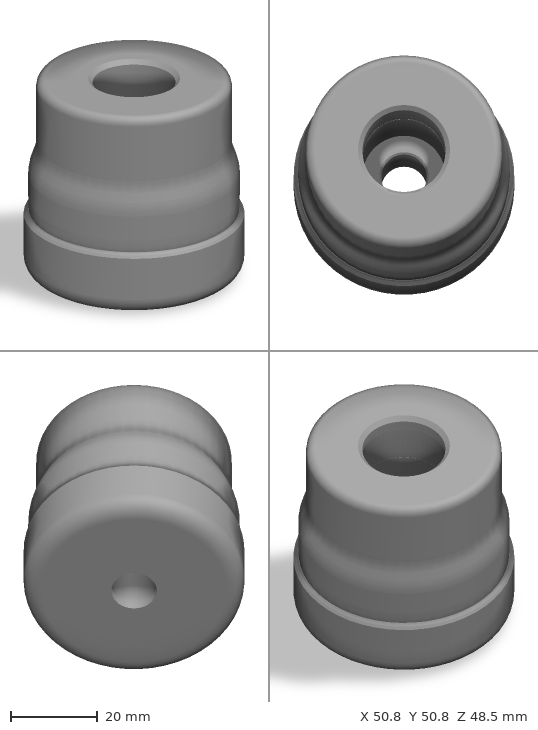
import cadquery as cq
import math

base_radius = 25.4
total_height = 48.5

base_height = 15.6
base_bottom_fillet = 4.0
lower_bevel_width = 0.45
lower_bevel_height = 0.6
upper_bevel_size = 0.55
through_hole_radius = 5.25
through_hole_chamfer = 0.45

sleeve_radius = 24.35
foot_radius = 24.25
foot_top = 18.55
neck_radius = 22.5
neck_bottom = 32.75
neck_top_fillet = 2.0
bore_radius = 9.55
bore_chamfer = 1.0
relief_depth = 0.05
relief_top = 45.05
relief_bottom = 36.5

shoulder_angle = math.radians(20)
upper_arc_radius = 8.0
lower_arc_radius = 9.5
shoulder_bottom = 24.6


def arc_offset(radius, angle):
    """Radial and axial travel along an arc that starts parallel to Z."""
    return radius * (1 - math.cos(angle)), radius * math.sin(angle)


def shoulder_points():
    """Middle and end of the lower arc, then start and middle of the upper arc."""
    half_angle = shoulder_angle / 2
    points = []
    for angle in (half_angle, shoulder_angle):
        inward, upward = arc_offset(lower_arc_radius, angle)
        points.append((sleeve_radius - inward, shoulder_bottom + upward))
    for angle in (shoulder_angle, half_angle):
        outward, downward = arc_offset(upper_arc_radius, angle)
        points.append((neck_radius + outward, neck_bottom - downward))
    return points


def make_base():
    bevel_middle_radius = base_radius - lower_bevel_width
    bevel_middle = base_height - upper_bevel_size
    bevel_bottom = bevel_middle - lower_bevel_height
    profile = (
        cq.Workplane("XZ")
        .moveTo(through_hole_radius, 0)
        .lineTo(base_radius - base_bottom_fillet, 0)
        .radiusArc((base_radius, base_bottom_fillet), -base_bottom_fillet)
        .lineTo(base_radius, bevel_bottom)
        .lineTo(bevel_middle_radius, bevel_middle)
        .lineTo(bevel_middle_radius - upper_bevel_size, base_height)
        .lineTo(through_hole_radius + through_hole_chamfer, base_height)
        .lineTo(through_hole_radius, base_height - through_hole_chamfer)
        .close()
    )
    return profile.revolve(360, (0, 0, 0), (0, 1, 0))


def make_sleeve():
    lower_middle, lower_end, upper_start, upper_middle = shoulder_points()
    relief_radius = bore_radius + relief_depth
    profile = (
        cq.Workplane("XZ")
        .moveTo(bore_radius, base_height)
        .lineTo(foot_radius, base_height)
        .lineTo(sleeve_radius, foot_top)
        .lineTo(sleeve_radius, shoulder_bottom)
        .threePointArc(lower_middle, lower_end)
        .lineTo(*upper_start)
        .threePointArc(upper_middle, (neck_radius, neck_bottom))
        .lineTo(neck_radius, total_height - neck_top_fillet)
        .radiusArc((neck_radius - neck_top_fillet, total_height), -neck_top_fillet)
        .lineTo(bore_radius + bore_chamfer, total_height)
        .lineTo(bore_radius, total_height - bore_chamfer)
        .lineTo(bore_radius, relief_top)
        .lineTo(relief_radius, relief_top)
        .lineTo(relief_radius, relief_bottom)
        .lineTo(bore_radius, relief_bottom)
        .close()
    )
    return profile.revolve(360, (0, 0, 0), (0, 1, 0))


base = make_base()
sleeve = make_sleeve()

result = cq.Compound.makeCompound([base.val(), sleeve.val()])